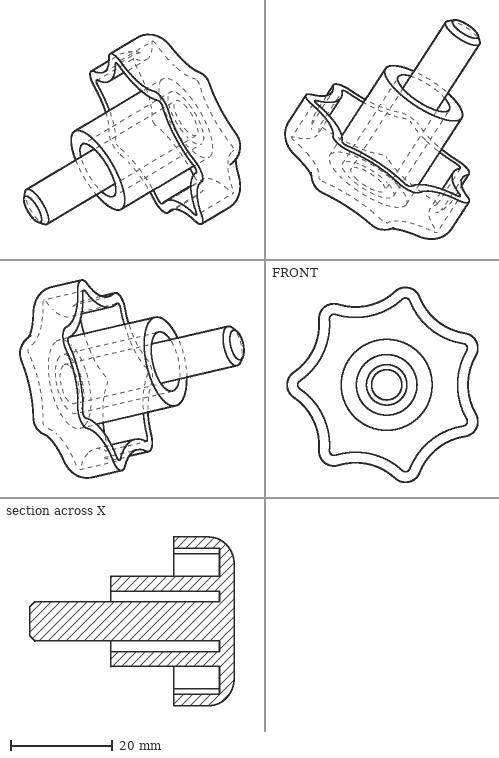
import cadquery as cq
import math

LOBE_COUNT = 7
LOBE_RADIUS = 3.0
LOBE_CENTRE_RADIUS = 16.7
VALLEY_DEPTH_RADIUS = 16.1
GRIP_HEIGHT = 12.0
EDGE_RADIUS = 5.0

WALL = 2.1
ROOF_THICKNESS = 3.0
CAVITY_DEPTH = GRIP_HEIGHT - ROOF_THICKNESS

HUB_DIAMETER = 18.0
HUB_BORE_DIAMETER = 12.0
HUB_PROJECTION = 12.5

STUD_DIAMETER = 8.0
STUD_PROJECTION = 16.0
STUD_CHAMFER = 1.0

LOBE_PITCH = 2 * math.pi / LOBE_COUNT
FIRST_LOBE_ANGLE = math.pi


def valley_centre_radius():
    """Distance from the knob axis to the centre of a valley arc tangent to both its lobes."""
    offset = LOBE_RADIUS - VALLEY_DEPTH_RADIUS
    slope = 2 * (offset + LOBE_CENTRE_RADIUS * math.cos(LOBE_PITCH / 2))
    return (LOBE_CENTRE_RADIUS**2 - offset**2) / slope


def polar(radius, angle):
    return (radius * math.cos(angle), radius * math.sin(angle))


def star_outline(inset):
    """Closed star of tangent lobe and valley arcs, moved inward by inset, on the open-rim plane."""
    lobe_radius = LOBE_RADIUS - inset
    valley_centre = valley_centre_radius()
    half_pitch = LOBE_PITCH / 2
    tangent_angle = math.atan2(
        valley_centre * math.sin(half_pitch),
        valley_centre * math.cos(half_pitch) - LOBE_CENTRE_RADIUS,
    )
    tangent_x = LOBE_CENTRE_RADIUS + lobe_radius * math.cos(tangent_angle)
    tangent_z = lobe_radius * math.sin(tangent_angle)
    tangent_radius = math.hypot(tangent_x, tangent_z)
    tangent_offset = math.atan2(tangent_z, tangent_x)

    outline = cq.Workplane("XZ").moveTo(*polar(tangent_radius, FIRST_LOBE_ANGLE - tangent_offset))
    for index in range(LOBE_COUNT):
        angle = FIRST_LOBE_ANGLE + index * LOBE_PITCH
        outline = outline.threePointArc(
            polar(LOBE_CENTRE_RADIUS + lobe_radius, angle),
            polar(tangent_radius, angle + tangent_offset),
        )
        outline = outline.threePointArc(
            polar(VALLEY_DEPTH_RADIUS - inset, angle + half_pitch),
            polar(tangent_radius, angle + LOBE_PITCH - tangent_offset),
        )
    return outline.close()


def make_grip():
    """Hollow star rising toward +Y from its open rim at Y = 0."""
    grip = star_outline(0).extrude(-GRIP_HEIGHT)
    grip = grip.faces(">Y").edges().fillet(EDGE_RADIUS)
    return grip.cut(star_outline(WALL).extrude(-CAVITY_DEPTH))


def make_hub():
    """Tube from the cavity floor to beyond the open rim."""
    hub = cq.Workplane("XZ", origin=(0, CAVITY_DEPTH, 0))
    return hub.circle(HUB_DIAMETER / 2).circle(HUB_BORE_DIAMETER / 2).extrude(CAVITY_DEPTH + HUB_PROJECTION)


def make_stud():
    """Rod from the cavity floor, through the hub, to a chamfered tip."""
    length = CAVITY_DEPTH + HUB_PROJECTION + STUD_PROJECTION
    stud = cq.Workplane("XZ", origin=(0, CAVITY_DEPTH, 0)).circle(STUD_DIAMETER / 2).extrude(length)
    return stud.faces("<Y").chamfer(STUD_CHAMFER)


result = make_grip().union(make_hub()).union(make_stud())